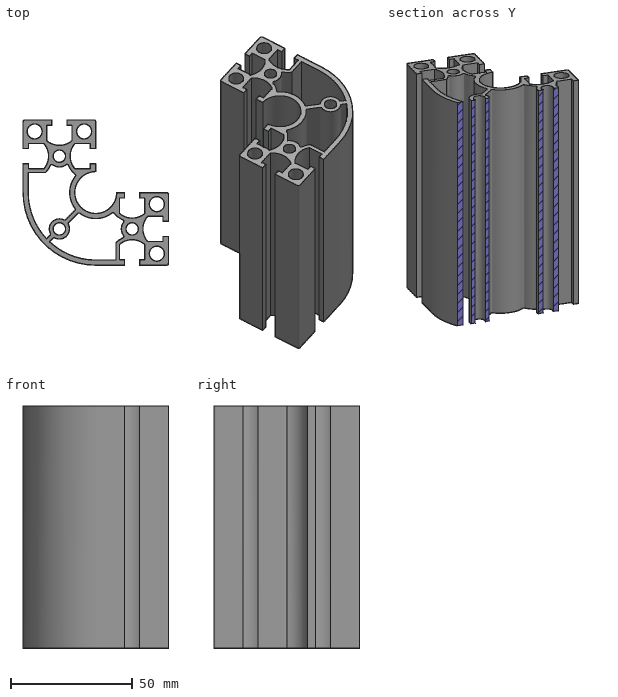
import cadquery as cq
import math

length = 100.0
arm_size = 30.0
arm_centre = arm_size / 2
corner_radius = 0.8

mouth_width = 6.2
channel_width = 10.3
lip_thickness = 2.3
slot_depth = 10.5
floor_radius = 8.0
floor_centre_depth = slot_depth - floor_radius
floor_edge_depth = floor_centre_depth + math.sqrt(floor_radius**2 - (channel_width / 2) ** 2)

corner_hole_diameter = 6.1
corner_hole_inset = 4.8
core_hole_diameter = 5.0
arm_core_radius = arm_centre - slot_depth
bend_core_radius = 4.2

bore_radius = 8.6
bore_wall = 2.2
ring_radius = bore_radius + bore_wall
skin_thickness = 2.2
rib_width = 1.8
notch_radius = 0.6
position_tolerance = 0.01
web_thickness = 1.6
web_radius = floor_radius + web_thickness
web_face = arm_centre - channel_width / 2 - web_thickness


def cylinder(x, y, radius):
    return cq.Workplane("XY").center(x, y).circle(radius).extrude(length)


def block(x_min, x_max, y_min, y_max):
    width = x_max - x_min
    height = y_max - y_min
    return cq.Workplane("XY").box(width, height, length, centered=False).translate((x_min, y_min, 0))


def with_mirror(shape):
    """Join a shape with its reflection in the plane y = x."""
    return shape.union(shape.mirror((1, -1, 0)))


def bend_region(radius, arm_reach):
    """L-shaped region with a quarter-round outer corner, reaching along both arms."""
    diagonal = -radius * math.sqrt(0.5)
    return (
        cq.Workplane("XY")
        .moveTo(-radius, arm_reach)
        .lineTo(-radius, 0)
        .threePointArc((diagonal, diagonal), (0, -radius))
        .lineTo(arm_reach, -radius)
        .lineTo(arm_reach, 0)
        .lineTo(0, 0)
        .lineTo(0, arm_reach)
        .close()
        .extrude(length)
    )


def outer_body():
    body = bend_region(arm_size, arm_size)
    return body.faces(">X or >Y").edges("|Z").fillet(corner_radius)


def slot():
    """T-slot cutter entering the left face of the upper arm."""
    face = -arm_size
    half_mouth = mouth_width / 2
    half_channel = channel_width / 2
    return (
        cq.Workplane("XY")
        .moveTo(face, arm_centre - half_mouth)
        .lineTo(face + lip_thickness, arm_centre - half_mouth)
        .lineTo(face + lip_thickness, arm_centre - half_channel)
        .lineTo(face + floor_edge_depth, arm_centre - half_channel)
        .threePointArc(
            (face + slot_depth, arm_centre),
            (face + floor_edge_depth, arm_centre + half_channel),
        )
        .lineTo(face + lip_thickness, arm_centre + half_channel)
        .lineTo(face + lip_thickness, arm_centre + half_mouth)
        .lineTo(face, arm_centre + half_mouth)
        .close()
        .extrude(length)
    )


def arm_openings():
    """Slots and round holes of the upper arm."""
    axis_bottom = (-arm_centre, arm_centre, 0)
    axis_top = (-arm_centre, arm_centre, length)
    openings = cylinder(-arm_centre, arm_centre, core_hole_diameter / 2)
    for angle in (0, -90, 180):
        openings = openings.union(slot().rotate(axis_bottom, axis_top, angle))
    for x in (-arm_size + corner_hole_inset, -corner_hole_inset):
        hole = cylinder(x, arm_size - corner_hole_inset, corner_hole_diameter / 2)
        openings = openings.union(hole)
    return openings


def arm_throat():
    """Part of the cavity that rises between the side slots up to the core of the upper arm."""
    outer_floor_x = -arm_size + floor_centre_depth
    inner_floor_x = -floor_centre_depth
    return (
        block(outer_floor_x, inner_floor_x, web_face, arm_centre)
        .cut(cylinder(outer_floor_x, arm_centre, web_radius))
        .cut(cylinder(inner_floor_x, arm_centre, web_radius))
        .cut(cylinder(-arm_centre, arm_centre, arm_core_radius))
    )


def rib():
    """Diagonal rib from the bore wall to the outer skin."""
    bar = block(-arm_size, 0, -rib_width / 2, rib_width / 2)
    return bar.rotate((0, 0, 0), (0, 0, 1), 45)


def is_notch(edge):
    """True where an edge lies on the bore wall, the bend core or an arm core."""
    circles = (
        (0, 0, ring_radius),
        (-arm_centre, -arm_centre, bend_core_radius),
        (-arm_centre, arm_centre, arm_core_radius),
        (arm_centre, -arm_centre, arm_core_radius),
    )
    place = edge.Center()
    return any(
        math.isclose(math.hypot(place.x - x, place.y - y), radius, abs_tol=position_tolerance)
        for x, y, radius in circles
    )


def cavity():
    """Hollow of the bend, with the notches beside the round walls rounded off."""
    inner_slot_web = cylinder(-floor_centre_depth, arm_centre, web_radius)
    hollow = (
        bend_region(arm_size - skin_thickness, web_face)
        .cut(with_mirror(inner_slot_web))
        .union(with_mirror(arm_throat()))
        .cut(cylinder(0, 0, ring_radius))
        .cut(rib())
        .cut(cylinder(-arm_centre, -arm_centre, bend_core_radius))
    )
    return hollow.edges("|Z").filter(is_notch).fillet(notch_radius)


result = (
    outer_body()
    .cut(cavity())
    .cut(with_mirror(arm_openings()))
    .cut(cylinder(0, 0, bore_radius))
    .cut(cylinder(-arm_centre, -arm_centre, core_hole_diameter / 2))
)